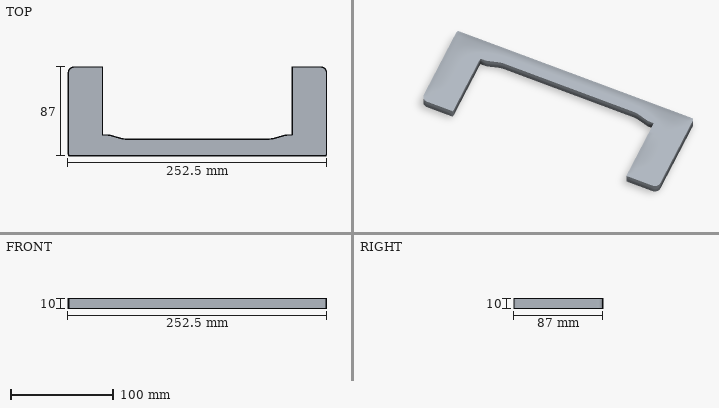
import cadquery as cq
import math

LENGTH = 252.5
DEPTH = 87.0
THICKNESS = 10.0

OPENING_WIDTH = 185.0
SHOULDER_HEIGHT = 20.5
BAR_HEIGHT = 16.5

SHOULDER_FLAT = 5.0
RAMP_ANGLE = 16.0
SHOULDER_RADIUS = 10.0
BAR_RADIUS = 25.0

CORNER_RADIUS = 6.0
BASE_ROUND_Y = 3.0

half_length = LENGTH / 2
half_opening = OPENING_WIDTH / 2
rear_y = DEPTH / 2
front_y = -DEPTH / 2
shoulder_y = front_y + SHOULDER_HEIGHT
bar_y = front_y + BAR_HEIGHT

base_round_x = CORNER_RADIUS - math.sqrt(CORNER_RADIUS**2 - BASE_ROUND_Y**2)

ramp_sin = math.sin(math.radians(RAMP_ANGLE))
ramp_cos = math.cos(math.radians(RAMP_ANGLE))
ramp_tan = ramp_sin / ramp_cos

upper_arc_start_x = half_opening - SHOULDER_FLAT
ramp_top_x = upper_arc_start_x - SHOULDER_RADIUS * ramp_sin
ramp_top_y = shoulder_y - SHOULDER_RADIUS * (1 - ramp_cos)

ramp_bottom_y = bar_y + BAR_RADIUS * (1 - ramp_cos)
ramp_bottom_x = ramp_top_x - (ramp_top_y - ramp_bottom_y) / ramp_tan
lower_arc_end_x = ramp_bottom_x - BAR_RADIUS * ramp_sin


def right_half():
    """Half plate on the +X side, with a sharp arm tip."""
    return (
        cq.Workplane("XY")
        .workplane(offset=-THICKNESS / 2)
        .moveTo(0, bar_y)
        .lineTo(lower_arc_end_x, bar_y)
        .tangentArcPoint((ramp_bottom_x, ramp_bottom_y), relative=False)
        .lineTo(ramp_top_x, ramp_top_y)
        .tangentArcPoint((upper_arc_start_x, shoulder_y), relative=False)
        .lineTo(half_opening, shoulder_y)
        .lineTo(half_opening, rear_y)
        .lineTo(half_length, rear_y)
        .lineTo(half_length, front_y + BASE_ROUND_Y)
        .tangentArcPoint((half_length - base_round_x, front_y), relative=False)
        .lineTo(0, front_y)
        .close()
        .extrude(THICKNESS)
    )


def round_arm_tip(half):
    """Round the outer vertical edge at the end of the arm."""
    return half.faces(">Y").edges(">X").fillet(CORNER_RADIUS)


half_plate = round_arm_tip(right_half())
result = half_plate.union(half_plate.mirror("YZ")).clean()